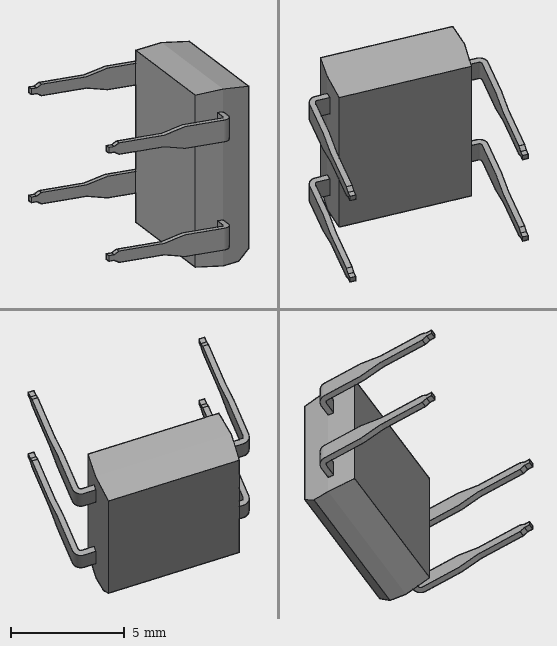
import cadquery as cq
import math


housing_width = 6.35
housing_height = 8.31
half_depth = 1.30
draft_angle = 5.0
orientation_chamfer = 0.51

lead_span = 8.25
lead_pitch = 5.08
lead_row_offset = 0.04
lead_thickness = 0.27
bend_outer_radius = 0.40
bend_inner_radius = bend_outer_radius - lead_thickness

shoulder_width = 1.02
leg_width = 0.54
tip_width = 0.27

shoulder_end = 2.29
leg_start = 3.31
leg_end = 5.50
tip_start = 5.73
tip_end = 5.99


def make_housing_half(direction):
    """Drafted block from the parting plane toward +Y (1) or -Y (-1)."""
    normal = (0, direction, 0)
    plane = cq.Plane(origin=(0, 0, 0), xDir=(1, 0, 0), normal=normal)
    return cq.Workplane(plane).rect(housing_width, housing_height).extrude(half_depth, taper=draft_angle)


def make_housing():
    """Moulded body: two drafted halves with a beveled lower back edge."""
    block = make_housing_half(1).union(make_housing_half(-1))

    draft_slope = math.tan(math.radians(draft_angle))
    bevel_y = half_depth - orientation_chamfer
    bevel_z = -housing_height / 2 + bevel_y * draft_slope
    wedge_size = 2 * orientation_chamfer
    wedge = (
        cq.Workplane("YZ")
        .moveTo(bevel_y, bevel_z)
        .line(wedge_size, wedge_size)
        .line(0, -2 * wedge_size)
        .line(-2 * wedge_size, 0)
        .close()
        .extrude(housing_width, both=True)
    )
    return block.cut(wedge)


def make_lead(side, center_z, housing):
    """Bent lead on the +X (1) or -X (-1) side, ending flush on the drafted housing wall."""
    outer_x = lead_span / 2
    inner_x = outer_x - lead_thickness
    bend_x = outer_x - bend_outer_radius
    root_x = housing_width / 2 - half_depth
    bent_strip = (
        cq.Workplane("XY")
        .moveTo(side * root_x, 0)
        .lineTo(side * bend_x, 0)
        .radiusArc((side * outer_x, -bend_outer_radius), side * bend_outer_radius)
        .lineTo(side * outer_x, -tip_end)
        .lineTo(side * inner_x, -tip_end)
        .lineTo(side * inner_x, -bend_outer_radius)
        .radiusArc((side * bend_x, -lead_thickness), -side * bend_inner_radius)
        .lineTo(side * root_x, -lead_thickness)
        .close()
        .extrude(shoulder_width / 2, both=True)
    )

    upper_edge = [
        (0, shoulder_width / 2),
        (-shoulder_end, shoulder_width / 2),
        (-leg_start, leg_width / 2),
        (-leg_end, leg_width / 2),
        (-tip_start, tip_width / 2),
        (-tip_end, tip_width / 2),
    ]
    lower_edge = [(y, -z) for y, z in reversed(upper_edge)]
    side_outline = cq.Workplane("YZ").polyline(upper_edge + lower_edge).close().extrude(lead_span, both=True)

    return bent_strip.intersect(side_outline).translate((0, 0, center_z)).cut(housing)


housing = make_housing()
leads = [
    make_lead(side, lead_row_offset + row * lead_pitch / 2, housing)
    for side in (-1, 1)
    for row in (-1, 1)
]

result = cq.Compound.makeCompound([housing.solids().val(), *[lead.solids().val() for lead in leads]])